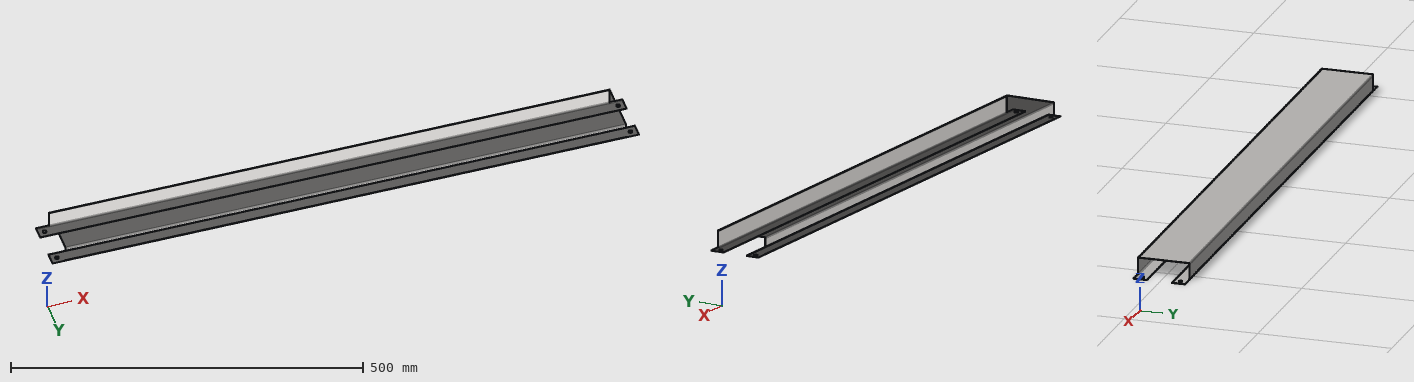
import cadquery as cq

length = 875.0
width = 78.0
height = 26.0

sheet = 1.0
bend_radius = 2.0
lip_width = 20.0
tab_length = 19.0

hole_diameter = 5.0
hole_from_end = 10.0
hole_from_side = 10.5


def rounded_bar(bar_width, bar_height, edge_radius):
    """Full-length bar centered on the origin, with its four long edges rounded."""
    return cq.Workplane("XY").box(length, bar_width, bar_height).edges("|X").fillet(edge_radius)


def lipped_channel():
    """C-shaped sheet profile, open between the two bottom lips."""
    outside = rounded_bar(width, height, bend_radius)
    inside = rounded_bar(width - 2 * sheet, height - 2 * sheet, bend_radius - sheet)
    bottom_gap = (
        cq.Workplane("XY")
        .box(length, width - 2 * lip_width, height / 2)
        .translate((0, 0, -height / 2))
    )
    return outside.cut(inside).cut(bottom_gap)


def end_notches():
    """Space above the tabs, where the top and walls stop short of both ends."""
    notch_x = (length - tab_length) / 2
    return (
        cq.Workplane("XY")
        .workplane(offset=-height / 2 + sheet)
        .pushPoints([(-notch_x, 0), (notch_x, 0)])
        .rect(tab_length, width)
        .extrude(height)
    )


def tab_holes():
    """One hole through each of the four tabs."""
    return (
        cq.Workplane("XY")
        .workplane(offset=-height / 2)
        .rect(length - 2 * hole_from_end, width - 2 * hole_from_side, forConstruction=True)
        .vertices()
        .circle(hole_diameter / 2)
        .extrude(sheet)
    )


result = lipped_channel().cut(end_notches()).cut(tab_holes())